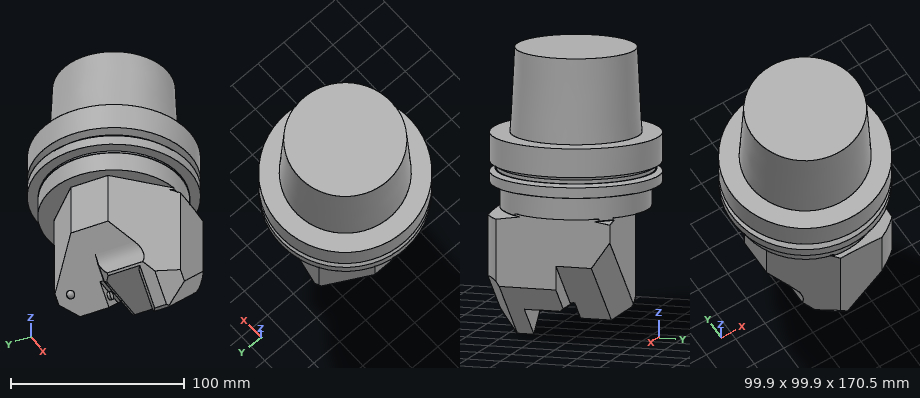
import cadquery as cq
import math

ROOT2 = math.sqrt(2)

total_height = 170.5
shank_height = 50.0
shank_top_radius = 35.5
shank_base_radius = 38.0
flange_radius = 99.9 / 2
flange_bottom = -29
groove_radius = 91.9 / 2
groove_top = -16.9
groove_floor_top = -19.1
groove_floor_bottom = -21.3
groove_ledge_width = 0.7
groove_bottom = -22.8
collar_radius = 43.8
collar_relief_radius = 87.1 / 2
collar_bottom = -43.0
collar_relief_height = 1.4

neck_bottom = -44.0
undercut_radius = 42.5
undercut_bottom = -44.7
shoulder_inner_radius = 44.3
shoulder_top = -45.2
head_radius = 51.5
shoulder_bottom = -46.9

head_half_width = 35.8
head_front = -45.9
head_back = 31.9
front_corner_cut = 30.9
back_corner_cut = 22.7

tip_z = shank_height - total_height
tip_half_width = 1.45
tip_apex = tip_z - tip_half_width
block_back = -0.7
blade_inner = -24.9
front_bevel_start = -35.0
inner_bevel_start = -27.3
block_bevel_start = -6.6

left_recess = 9.9
scoop_radius = 13.3
scoop_axis_x = -33.8

notch_ceiling = -102.1
notch_slot_ceiling = -98.9
notch_back = 2.0
notch_corner_width = 2.5
notch_corner_height = 2.2

ridge_x = -2.0
left_bevel_start = 30.9
right_bevel_start = 20.8

pin_diameter = 5.0
pin_z = -101.6
pin_projection = 1.7
pin_embed = 3.4
ball_x = -12
ball_y = 21.8

cutter_size = 2 * total_height
left_flank_apex = tip_apex + left_recess
ridge_z = left_flank_apex - ridge_x


def make_shank_and_flange():
    relief_bottom = flange_bottom - collar_relief_height
    return (
        cq.Workplane("XZ")
        .moveTo(0, shank_height)
        .lineTo(shank_top_radius, shank_height)
        .lineTo(shank_base_radius, 0)
        .lineTo(flange_radius, 0)
        .lineTo(flange_radius, groove_top)
        .lineTo(groove_radius, groove_floor_top)
        .lineTo(groove_radius, groove_floor_bottom)
        .lineTo(groove_radius + groove_ledge_width, groove_floor_bottom)
        .lineTo(flange_radius, groove_bottom)
        .lineTo(flange_radius, flange_bottom)
        .lineTo(collar_relief_radius, flange_bottom)
        .lineTo(collar_relief_radius, relief_bottom)
        .lineTo(collar_radius, relief_bottom)
        .lineTo(collar_radius, collar_bottom)
        .lineTo(0, collar_bottom)
        .close()
        .revolve(360, (0, 0, 0), (0, 1, 0))
    )


def make_head_envelope():
    """Plan outline of the head limited by the turned neck, shoulder and outer radius."""
    turned = (
        cq.Workplane("XZ")
        .moveTo(0, flange_bottom - collar_relief_height)
        .lineTo(collar_radius, flange_bottom - collar_relief_height)
        .lineTo(collar_radius, neck_bottom)
        .lineTo(undercut_radius, undercut_bottom)
        .lineTo(shoulder_inner_radius, shoulder_top)
        .lineTo(head_radius, shoulder_bottom)
        .lineTo(head_radius, tip_z)
        .lineTo(0, tip_z)
        .close()
        .revolve(360, (0, 0, 0), (0, 1, 0))
    )
    plan = (
        cq.Workplane("XY")
        .workplane(offset=tip_z)
        .moveTo(head_half_width, head_back)
        .lineTo(back_corner_cut - head_half_width, head_back)
        .lineTo(-head_half_width, head_back - back_corner_cut)
        .lineTo(-head_half_width, head_front + front_corner_cut)
        .lineTo(front_corner_cut - head_half_width, head_front)
        .lineTo(head_half_width, head_front)
        .close()
        .extrude(-tip_z)
    )
    return turned.intersect(plan)


def extrude_along_y(profile, y_front, y_back):
    """Extrude an XZ profile, drawn on the plane y = y_back, forward to y_front."""
    return profile.extrude(y_back - y_front)


def profile_at(y_back):
    return cq.Workplane("XZ", origin=(0, y_back, 0))


def bevel_tool(x_side, y_side, apex_z, y_start):
    """Everything outside a plane at 45 degrees to a flank, where the flank meets x = 0 at apex_z."""
    normal = (x_side, y_side * ROOT2, -1)
    plane = cq.Plane(origin=(0, y_start, apex_z), xDir=(1, 0, x_side), normal=normal)
    return cq.Workplane(plane).rect(cutter_size, cutter_size).extrude(total_height)


def box_between(x_min, x_max, y_min, y_max, z_min, z_max):
    size = (x_max - x_min, y_max - y_min, z_max - z_min)
    return cq.Workplane("XY").box(*size, centered=False).translate((x_min, y_min, z_min))


def make_front_block():
    tangent_x = scoop_axis_x + scoop_radius / ROOT2
    tangent_z = left_flank_apex - tangent_x
    scoop_axis_z = tangent_z - scoop_radius / ROOT2
    outer_distance = scoop_radius - left_recess / ROOT2
    end_angle = math.radians(45) - math.acos(outer_distance / scoop_radius)
    middle_angle = (math.radians(45) + end_angle) / 2

    def scoop_point(angle):
        return (scoop_axis_x + scoop_radius * math.cos(angle), scoop_axis_z + scoop_radius * math.sin(angle))

    profile = (
        profile_at(block_back)
        .moveTo(-head_half_width, 0)
        .lineTo(-head_half_width, left_flank_apex + head_half_width)
        .lineTo(tangent_x, tangent_z)
        .threePointArc(scoop_point(middle_angle), scoop_point(end_angle))
        .lineTo(-tip_half_width, tip_z)
        .lineTo(tip_half_width, tip_z)
        .lineTo(head_half_width, tip_apex + head_half_width)
        .lineTo(head_half_width, 0)
        .close()
    )
    block = extrude_along_y(profile, head_front, block_back)

    for x_side in (-1, 1):
        block = block.cut(bevel_tool(x_side, -1, tip_apex, front_bevel_start))
    block = block.cut(bevel_tool(-1, 1, tip_apex, block_bevel_start))

    blade_zone = box_between(-cutter_size, cutter_size, head_front, blade_inner, tip_z, notch_ceiling)
    return block.cut(bevel_tool(-1, 1, tip_apex, inner_bevel_start).intersect(blade_zone))


def make_back_block():
    right_flank_apex = ridge_z - ridge_x
    profile = (
        profile_at(head_back)
        .moveTo(-head_half_width, 0)
        .lineTo(-head_half_width, left_flank_apex + head_half_width)
        .lineTo(ridge_x, ridge_z)
        .lineTo(head_half_width, right_flank_apex + head_half_width)
        .lineTo(head_half_width, 0)
        .close()
    )
    block = extrude_along_y(profile, block_back, head_back)
    block = block.cut(bevel_tool(-1, 1, left_flank_apex, left_bevel_start))
    return block.cut(bevel_tool(1, 1, right_flank_apex, right_bevel_start))


def make_notch():
    """Notch across the head, deeper beside the back block, with a bevelled ceiling corner."""
    return (
        cq.Workplane("YZ", origin=(-head_half_width, 0, 0))
        .moveTo(blade_inner, tip_z)
        .lineTo(blade_inner, notch_ceiling)
        .lineTo(block_back - notch_corner_width, notch_ceiling)
        .lineTo(block_back, notch_ceiling + notch_corner_height)
        .lineTo(block_back, notch_slot_ceiling)
        .lineTo(notch_back, notch_slot_ceiling)
        .lineTo(notch_back, tip_z)
        .close()
        .extrude(2 * head_half_width)
    )


def make_wall_pin():
    """Pin rooted in the back block and standing out of its notch wall toward -Y."""
    pin = profile_at(notch_back + pin_embed).center(ridge_x, pin_z).circle(pin_diameter / 2)
    return extrude_along_y(pin, notch_back - pin_projection, notch_back + pin_embed)


def make_flank_ball():
    """Ball sunk to its middle in the recessed left flank."""
    return cq.Workplane("XY").sphere(pin_diameter / 2).translate((ball_x, ball_y, left_flank_apex - ball_x))


head = make_front_block().union(make_back_block())
head = head.intersect(make_head_envelope()).cut(make_notch())
result = make_shank_and_flange().union(head).union(make_wall_pin()).union(make_flank_ball()).clean()